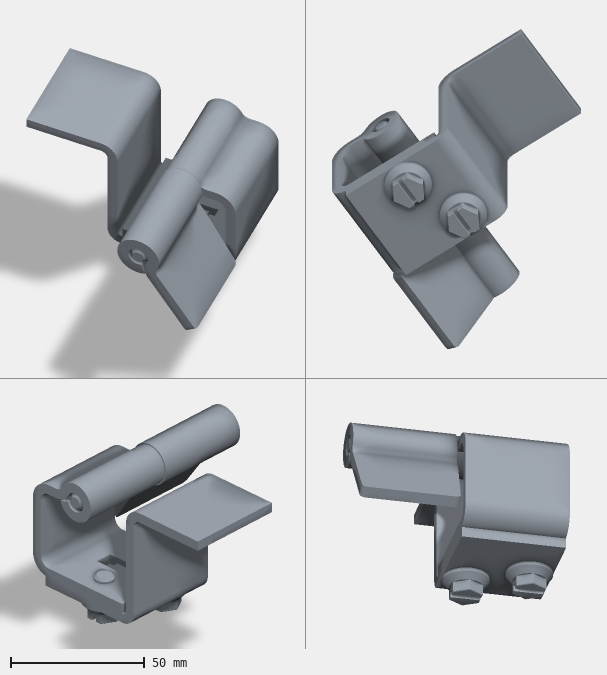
import cadquery as cq
import math

overall_length = 87.1
knuckle_length = 40.0
pin_diameter = 8.0
pin_chamfer = 1.8

leaf_thickness = 4.0
flap_thickness = 4.5
curl_gap_angle = 16.5

flap_reach = 38.0
flap_slope = 55.0
flap_neck_radius = 3.0
flap_taper_start = 13.1
flap_taper_angle = 5.0
flap_corner_radius = 2.0

leaf_neck_radius = 3.5
leaf_height = 40.0
leaf_width = 46.2
leaf_right = 22.0
leaf_inner_bend = 4.0
leaf_outer_bend = leaf_inner_bend + leaf_thickness
joint_z = leaf_thickness / 2 - leaf_height
leaf_left = leaf_right - leaf_width

bracket_rise = 46.8
bracket_wall_left = -30.2
bracket_foot_right = 15.6
bracket_top_bend = 3.0
bracket_foot_bend = 1.65
flap_slope_rad = math.radians(flap_slope)
flap_tip_x = flap_reach * math.cos(flap_slope_rad) + flap_thickness / 2 * math.sin(flap_slope_rad)
bracket_left = flap_tip_x - overall_length
bracket_top = joint_z + bracket_rise
bracket_bottom = joint_z - leaf_thickness

slot_left = -15.4
slot_length = 20.0
slot_width = 7.1
key_length = 16.3
key_height = 1.6

screw_diameter = 8.0
screw_spacing_x = 10.0
screw_spacing_y = 22.0
first_screw_x = -16.5
screw_tip_height = 1.8
screw_tip_chamfer = 1.0
flange_diameter = 17.8
flange_rim = 1.3
flange_height = 3.8
flange_small_diameter = 13.25
hex_across_corners = 13.25
head_height = 8.0
head_edge_chamfer = 0.3
driver_slot_width = 2.0
driver_slot_depth = 2.3

mid_y = knuckle_length / 2
screw_places = [
    (first_screw_x, mid_y - screw_spacing_y / 2),
    (first_screw_x + screw_spacing_x, mid_y + screw_spacing_y / 2),
]


def box(x_range, y_range, z_range):
    """Block between the given limits."""
    sizes = [high - low for low, high in (x_range, y_range, z_range)]
    corner = (x_range[0], y_range[0], z_range[0])
    return cq.Workplane("XY").box(*sizes, centered=False).translate(corner)


def polar(radius, degrees, center=(0, 0)):
    """Point at a radius and an angle around a center."""
    angle = math.radians(degrees)
    return (center[0] + radius * math.cos(angle), center[1] + radius * math.sin(angle))


def curled_sheet(thickness, neck_radius, reach, y_max):
    """Sheet lying along +X, centered on the axis, with its end curled around the pin."""
    inner = pin_diameter / 2
    outer = inner + thickness
    half = thickness / 2
    neck_z = half + neck_radius
    neck_x = math.sqrt((outer + neck_radius) ** 2 - neck_z ** 2)
    neck = (neck_x, neck_z)
    neck_angle = math.degrees(math.atan2(neck_z, neck_x))
    end_angle = 360 - curl_gap_angle
    curl_middle = (neck_angle + end_angle) / 2
    neck_middle = (180 + neck_angle + 270) / 2
    neck_outer = neck_radius + thickness
    return (
        cq.Workplane("XZ", origin=(0, y_max, 0))
        .moveTo(reach, half)
        .lineTo(neck_x, half)
        .threePointArc(polar(neck_radius, neck_middle, neck), polar(outer, neck_angle))
        .threePointArc(polar(outer, curl_middle), polar(outer, end_angle))
        .lineTo(*polar(inner, end_angle))
        .threePointArc(polar(inner, curl_middle), polar(inner, neck_angle))
        .threePointArc(polar(neck_outer, neck_middle, neck), (neck_x, -half))
        .lineTo(reach, -half)
        .close()
        .extrude(knuckle_length)
    )


def round_bend(sheet, x, z, radius):
    """Round the bend edge that runs along Y through (x, z)."""
    return sheet.edges(cq.selectors.NearestToPointSelector((x, mid_y, z))).fillet(radius)


def screw_holes(depth, bottom):
    """Cutters for the screw shanks."""
    return (
        cq.Workplane("XY", origin=(0, 0, bottom))
        .pushPoints(screw_places)
        .circle(screw_diameter / 2)
        .extrude(depth)
    )


def make_flap():
    """Door flap with one tapered side and rounded free corners, sloping down from the axis."""
    flap = curled_sheet(flap_thickness, flap_neck_radius, flap_reach, 0)
    taper_depth = (flap_reach - flap_taper_start) * math.tan(math.radians(flap_taper_angle))
    taper = (
        cq.Workplane("XY")
        .polyline([(flap_taper_start, 0), (flap_reach, 0), (flap_reach, -taper_depth)])
        .close()
        .extrude(flap_thickness / 2, both=True)
    )
    flap = flap.cut(taper)
    flap = flap.faces(">X").edges("|Z").fillet(flap_corner_radius)
    return flap.rotate((0, 0, 0), (0, 1, 0), flap_slope)


def make_leaf():
    """Frame leaf: curl, short flange, upright wall and bottom plate with a slot."""
    y_range = (0, knuckle_length)
    wall_left = leaf_right - leaf_thickness
    plate_top = joint_z + leaf_thickness
    flange_half = leaf_thickness / 2
    leaf = curled_sheet(leaf_thickness, leaf_neck_radius, leaf_right, knuckle_length)
    leaf = leaf.union(box((wall_left, leaf_right), y_range, (joint_z, flange_half)))
    leaf = leaf.union(box((leaf_left, leaf_right), y_range, (joint_z, plate_top))).clean()
    leaf = round_bend(leaf, leaf_right, flange_half, leaf_outer_bend)
    leaf = round_bend(leaf, wall_left, -flange_half, leaf_inner_bend)
    leaf = round_bend(leaf, leaf_right, joint_z, leaf_outer_bend)
    leaf = round_bend(leaf, wall_left, plate_top, leaf_inner_bend)
    slot = box(
        (slot_left, slot_left + slot_length),
        (mid_y - slot_width / 2, mid_y + slot_width / 2),
        (joint_z, plate_top),
    )
    return leaf.cut(slot).cut(screw_holes(leaf_thickness, joint_z))


def make_bracket():
    """Z-shaped mounting bracket with a key that enters the leaf slot."""
    y_range = (0, knuckle_length)
    wall_right = bracket_wall_left + leaf_thickness
    flange_bottom = bracket_top - leaf_thickness
    bracket = box((bracket_wall_left, wall_right), y_range, (bracket_bottom, bracket_top))
    bracket = bracket.union(box((bracket_left, wall_right), y_range, (flange_bottom, bracket_top)))
    foot = box((bracket_wall_left, bracket_foot_right), y_range, (bracket_bottom, joint_z))
    bracket = bracket.union(foot).clean()
    bracket = round_bend(bracket, wall_right, bracket_top, bracket_top_bend + leaf_thickness)
    bracket = round_bend(bracket, bracket_wall_left, flange_bottom, bracket_top_bend)
    bracket = round_bend(bracket, bracket_wall_left, bracket_bottom, bracket_foot_bend + leaf_thickness)
    bracket = round_bend(bracket, wall_right, joint_z, bracket_foot_bend)
    key = box(
        (slot_left, slot_left + key_length),
        (mid_y - slot_width / 2, mid_y + slot_width / 2),
        (joint_z, joint_z + key_height),
    )
    return bracket.union(key).cut(screw_holes(leaf_thickness, bracket_bottom))


def make_pin():
    """Hinge pin through both knuckles, chamfered at both ends."""
    return (
        cq.Workplane("XZ", origin=(0, knuckle_length, 0))
        .circle(pin_diameter / 2)
        .extrude(2 * knuckle_length)
        .edges()
        .chamfer(pin_chamfer)
    )


def make_screw(place):
    """Slotted hex flange screw, driven from below."""
    shank_length = 2 * leaf_thickness + screw_tip_height
    shank = (
        cq.Workplane("XY")
        .circle(screw_diameter / 2)
        .extrude(shank_length)
        .faces(">Z")
        .chamfer(screw_tip_chamfer)
    )
    flange = (
        cq.Workplane("XZ")
        .polyline([
            (0, 0),
            (flange_diameter / 2, 0),
            (flange_diameter / 2, -flange_rim),
            (flange_small_diameter / 2, -flange_height),
            (0, -flange_height),
        ])
        .close()
        .revolve(360, (0, 0, 0), (0, 1, 0))
    )
    head = (
        cq.Workplane("XY")
        .polygon(6, hex_across_corners)
        .extrude(-head_height)
        .faces("<Z")
        .chamfer(head_edge_chamfer)
    )
    half_slot = driver_slot_width / 2
    driver_slot = box(
        (-half_slot, half_slot),
        (-hex_across_corners, hex_across_corners),
        (-head_height, driver_slot_depth - head_height),
    )
    screw = shank.union(flange).union(head).cut(driver_slot)
    return screw.translate((place[0], place[1], bracket_bottom))


bracket = make_bracket()
leaf = make_leaf()
flap = make_flap()
pin = make_pin()
screws = [make_screw(place) for place in screw_places]

result = cq.Compound.makeCompound(
    [bracket.val(), leaf.val(), flap.val(), pin.val(), *[screw.val() for screw in screws]]
)